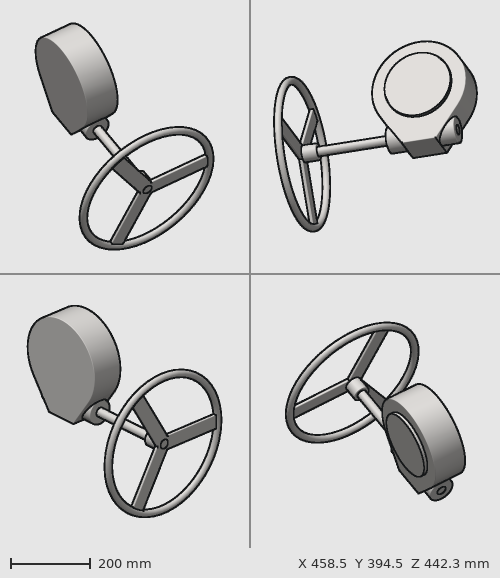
import cadquery as cq
import math


housing_diameter = 250.0
housing_radius = housing_diameter / 2
housing_front_y = -50.0
housing_back_y = 40.0
foot_half_width = 45.0
housing_edge_radius = 2.0

shaft_z = -120.0
tube_radius = 34.5
tube_half_length = 91.0
tube_edge_radius = 2.0
foot_z = shaft_z - tube_radius

flange_diameter = 175.0
flange_height = 10.0

rim_diameter = 394.5
rim_tube_diameter = 20.0
rim_tube_radius = rim_tube_diameter / 2
rim_path_radius = (rim_diameter - rim_tube_diameter) / 2
overall_length = 458.5
wheel_x = overall_length - housing_radius - rim_tube_radius
spoke_count = 3
spoke_spacing = 360 / spoke_count
spoke_width = 40.0
spoke_thickness = 10.0
spoke_edge_radius = 2.0
hub_diameter = 44.0
hub_start_x = 280.0
hub_edge_radius = 1.0
hub_end_x = wheel_x + spoke_thickness / 2

shaft_diameter = 25.0
shaft_edge_radius = 1.0


def x_cylinder(diameter, start_x, end_x):
    """Cylinder on the shaft axis between two X positions."""
    return (
        cq.Workplane("YZ", origin=(start_x, 0, shaft_z))
        .circle(diameter / 2)
        .extrude(end_x - start_x)
    )


def make_housing():
    """Round case with sides running tangentially down to a flat foot, and the worm tube."""
    foot_distance = math.hypot(foot_half_width, foot_z)
    foot_angle = math.atan2(foot_z, foot_half_width)
    tangent_angle = foot_angle + math.acos(housing_radius / foot_distance)
    tangent_x = housing_radius * math.cos(tangent_angle)
    tangent_z = housing_radius * math.sin(tangent_angle)

    case = (
        cq.Workplane("XZ", origin=(0, housing_back_y, 0))
        .moveTo(-foot_half_width, foot_z)
        .lineTo(foot_half_width, foot_z)
        .lineTo(tangent_x, tangent_z)
        .threePointArc((0, housing_radius), (-tangent_x, tangent_z))
        .close()
        .extrude(housing_back_y - housing_front_y)
        .edges("not |Y")
        .fillet(housing_edge_radius)
    )
    tube = x_cylinder(2 * tube_radius, -tube_half_length, tube_half_length)
    tube = tube.faces("<X or >X").fillet(tube_edge_radius)
    bore = x_cylinder(shaft_diameter, -tube_half_length, tube_half_length)
    return case.union(tube).cut(bore)


def make_flange():
    """Plain mounting disc on the back of the housing."""
    return (
        cq.Workplane("XZ", origin=(0, housing_back_y, 0))
        .circle(flange_diameter / 2)
        .extrude(-flange_height)
    )


def make_shaft():
    """Straight shaft with a rounded tip, from the outer end of the tube to the outer end of the hub."""
    shaft = x_cylinder(shaft_diameter, -tube_half_length, hub_end_x)
    return shaft.faces("<X").fillet(shaft_edge_radius)


def make_spoke(angle):
    """Flat bar from the shaft axis to the middle of the rim tube."""
    return (
        cq.Workplane("XY", origin=(wheel_x, 0, shaft_z))
        .box(spoke_thickness, rim_path_radius, spoke_width, centered=(True, False, True))
        .edges("|Y")
        .fillet(spoke_edge_radius)
        .rotate((0, 0, shaft_z), (1, 0, shaft_z), angle)
    )


def make_handwheel():
    """Round rim, flat spokes and a hub bored for the shaft."""
    rim = cq.Workplane(
        cq.Solid.makeTorus(
            rim_path_radius, rim_tube_radius, cq.Vector(wheel_x, 0, shaft_z), cq.Vector(1, 0, 0)
        )
    )
    hub = x_cylinder(hub_diameter, hub_start_x, hub_end_x)
    hub = hub.faces("<X").fillet(hub_edge_radius)
    wheel = rim.union(hub)
    for index in range(spoke_count):
        wheel = wheel.union(make_spoke(index * spoke_spacing))
    return wheel.cut(x_cylinder(shaft_diameter, hub_start_x, hub_end_x))


housing = make_housing()
flange = make_flange()
shaft = make_shaft()
handwheel = make_handwheel()

result = cq.Compound.makeCompound([housing.val(), flange.val(), shaft.val(), handwheel.val()])